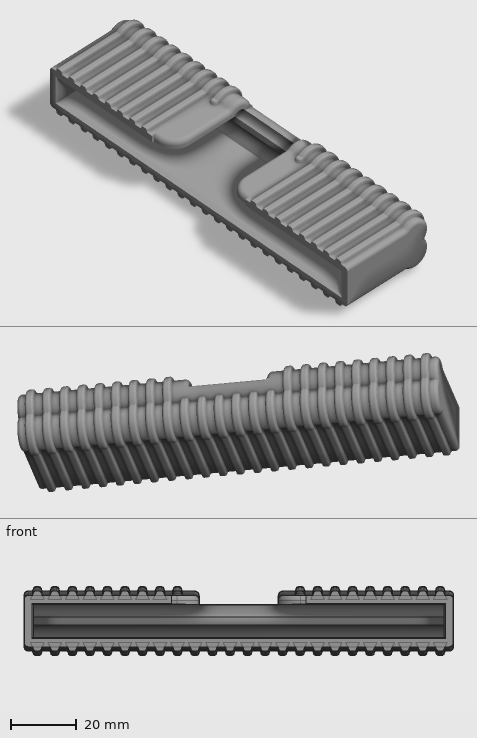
import cadquery as cq
import math

length = 131.0
half_length = length / 2
flat_half_height = 7.9
lobe_radius = 5.5
lobe_y = 29.0
lobe_z = 3.7
lobe_blend = 2.6
end_round = 1.3
sides = (1, -1)

wall = 2.9
cavity_half_length = half_length - wall
cavity_half_height = flat_half_height - wall
cavity_depth = 29.9
channel_radius = lobe_radius - wall
mouth_flare = 0.4
mouth_depth = 2.0

window_half_width = 12.0
flap_corner = 6.8
flap_setback = 0.8
notch_half_width = 20.6
window_round = 1.6
sill_round = 1.2

rib_count = 24
rib_pitch = 5.35
rib_height = 1.3
rib_half_width = 1.25
rib_root_half_width = 2.1
rib_round = 0.8
rib_root = 1.3
short_rib_front = 24.6
short_rank = 3


def box(half_width, y_start, y_end, z_low, z_high):
    size = (2 * half_width, y_end - y_start, z_high - z_low)
    return cq.Workplane("XY").box(*size, centered=(True, False, False)).translate((0, y_start, z_low))


def lobe_cylinder(radius, half_width, side):
    plane = cq.Workplane("YZ", origin=(-half_width, 0, 0))
    return plane.center(lobe_y, side * lobe_z).circle(radius).extrude(2 * half_width)


def make_body():
    body = box(half_length, 0, lobe_y, -flat_half_height, flat_half_height)
    for side in sides:
        body = body.union(lobe_cylinder(lobe_radius, half_length, side))

    crease_y = lobe_y - math.sqrt(lobe_radius**2 - (flat_half_height - lobe_z) ** 2)
    for side in sides:
        crease = cq.selectors.NearestToPointSelector((0, crease_y, side * flat_half_height))
        body = body.edges(crease).fillet(lobe_blend)

    end_edges = body.faces("<X or >X").edges()
    return end_edges.filter(lambda edge: edge.Center().y > 0).fillet(end_round)


def make_window():
    """Opening between the flaps, from the cavity roof up and through the back."""
    back = lobe_y + 2 * lobe_radius
    arc_offset = flap_corner * (1 - math.sqrt(0.5))
    half = (
        cq.Workplane("XY", origin=(0, 0, cavity_half_height))
        .moveTo(0, 0)
        .lineTo(notch_half_width, 0)
        .lineTo(notch_half_width, flap_setback)
        .lineTo(window_half_width + flap_corner, flap_setback)
        .threePointArc(
            (window_half_width + arc_offset, flap_setback + arc_offset),
            (window_half_width, flap_setback + flap_corner),
        )
        .lineTo(window_half_width, back)
        .lineTo(0, back)
        .close()
        .extrude(2 * lobe_radius)
    )
    return half.union(half.mirror("YZ"))


def round_flaps(body):
    """Round the upper edges of the two flaps beside the window."""
    def on_flap(edge):
        center = edge.Center()
        beside_window = window_half_width - 0.1 < abs(center.x) < notch_half_width - 0.1
        return beside_window and center.y > 0 and center.z > flat_half_height - 0.1

    return body.edges().filter(on_flap).fillet(window_round)


def sill_cove():
    """Waste outside the rounded back edge of the window sill."""
    center_z = cavity_half_height - sill_round
    center_y = lobe_y + math.sqrt((lobe_radius - sill_round) ** 2 - (center_z - lobe_z) ** 2)
    corner = box(window_half_width, center_y, lobe_y + 2 * lobe_radius, center_z, flat_half_height)
    rounding = (
        cq.Workplane("YZ", origin=(-half_length, 0, 0))
        .center(center_y, center_z)
        .circle(sill_round)
        .extrude(length)
    )
    return corner.cut(rounding)


def make_cavity():
    cavity = box(cavity_half_length, 0, cavity_depth, -cavity_half_height, cavity_half_height)
    for side in sides:
        cavity = cavity.union(lobe_cylinder(channel_radius, cavity_half_length, side))
    mouth = (
        cq.Workplane("XZ")
        .rect(2 * (cavity_half_length + mouth_flare), 2 * (cavity_half_height + mouth_flare))
        .workplane(offset=-mouth_depth)
        .rect(2 * cavity_half_length, 2 * cavity_half_height)
        .loft()
    )
    return cavity.union(mouth)


def rib_section(plane, half=False):
    """Rib cross-section with its foot on the plane's X axis, or only its right half."""
    crown_half_width = rib_half_width - rib_round
    shoulder = rib_height - rib_round
    bulge_x = crown_half_width + rib_round * math.sqrt(0.5)
    bulge_y = shoulder + rib_round * math.sqrt(0.5)
    outline = (
        plane.moveTo(0, -rib_root)
        .lineTo(rib_root_half_width, -rib_root)
        .lineTo(rib_half_width, shoulder)
        .threePointArc((bulge_x, bulge_y), (crown_half_width, rib_height))
    )
    if half:
        return outline.lineTo(0, rib_height).close()
    return (
        outline.lineTo(-crown_half_width, rib_height)
        .threePointArc((-bulge_x, bulge_y), (-rib_half_width, shoulder))
        .lineTo(-rib_root_half_width, -rib_root)
        .close()
    )


def lobe_rib():
    """Ring around the upper lobe."""
    plane = cq.Workplane("XY", origin=(0, lobe_y + lobe_radius, lobe_z))
    return rib_section(plane).revolve(360, (0, -lobe_radius, 0), (1, -lobe_radius, 0))


def flat_rib(front):
    """Straight rib on the upper wall, from the given Y back into the lobe."""
    plane = cq.Workplane("XZ", origin=(0, front, flat_half_height))
    return rib_section(plane).extrude(front - lobe_y)


def rounded_tip():
    """Dome that closes the front of a short rib."""
    plane = cq.Workplane("XZ", origin=(0, short_rib_front, flat_half_height))
    return rib_section(plane, half=True).revolve(360, (0, 0, 0), (0, 1, 0))


full_rib = lobe_rib().union(flat_rib(0), clean=False)
short_rib = lobe_rib().union(flat_rib(short_rib_front), clean=False).union(rounded_tip(), clean=False)

ribs = []
for rank in range(rib_count // 2):
    for direction in sides:
        x = direction * (rank + 0.5) * rib_pitch
        ribs.append(full_rib.mirror("XY").translate((x, 0, 0)).val())
        if rank == short_rank:
            ribs.append(short_rib.translate((x, 0, 0)).val())
        elif rank > short_rank:
            ribs.append(full_rib.translate((x, 0, 0)).val())

body = round_flaps(make_body().cut(make_window())).cut(sill_cove())
ribbed_body = cq.Workplane(body.val().fuse(*ribs))
result = ribbed_body.cut(make_cavity(), clean=False)